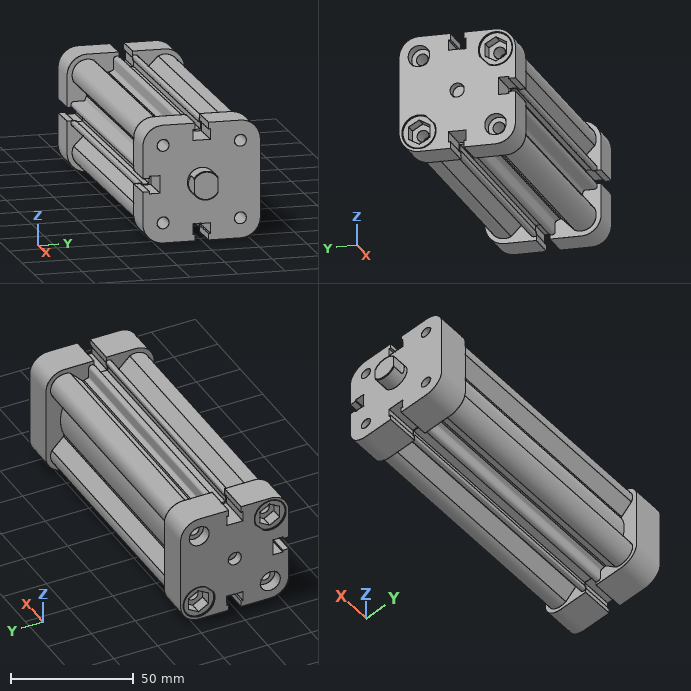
import cadquery as cq
import math

TOTAL_LENGTH = 141.5
BODY_WIDTH = 49.5
CAP_LENGTH = 14.6
ROD_PROJECTION = 7.1
BODY_LENGTH = TOTAL_LENGTH - ROD_PROJECTION
TUBE_LENGTH = BODY_LENGTH - 2 * CAP_LENGTH
HALF_WIDTH = BODY_WIDTH / 2

CORNER_RADIUS = 8.5
BOLT_OFFSET = HALF_WIDTH - CORNER_RADIUS
BOLT_HOLE_DIAMETER = 5.0
SOCKET_SIZE = 9.0
COUNTERBORE_DEPTH = 5.0
HEX_SOCKET_DEPTH = 5.8

RECESS_RIM_RADIUS = 7.2
RECESS_RIM_DEPTH = 0.3
RECESS_RADIUS = 7.0
RECESS_DEPTH = 0.5
RECESS_FLAT_DISTANCE = 6.7

CENTRE_HOLE_DIAMETER = 6.0
CENTRE_HOLE_DEPTH = 4.0

CAP_SLOT_HALF_MOUTH = 2.8
CAP_SLOT_HALF_FLOOR = 3.7
CAP_SLOT_LIP = 2.8
CAP_SLOT_DEPTH = 7.2

BARREL_RADIUS = 18.1
COLUMN_RADIUS = 6.4
BARREL_HALF_WIDTH = 7.4
FLANK_OFFSET = 8.5
FLANK_FOOT = 8.2
RAIL_TOP = 23.0
RAIL_HALF_WIDTH = 5.2
RAIL_OUTER_FILLET = 1.3
RAIL_MOUTH_FILLET = 0.4
RAIL_BASE_FILLET = 0.8
TUBE_SLOT_HALF_MOUTH = 2.7
TUBE_SLOT_HALF_FLOOR = 3.3
TUBE_SLOT_FLOOR = 18.3
TUBE_SLOT_LIP_UNDERSIDE = 21.2

ROD_DIAMETER = 12.0
ROD_ACROSS_FLATS = 10.0
ROD_SHOULDER = 1.7
ROD_CHAMFER = 0.3
ROD_FLAT_FILLET = 0.5

SLOT_ANGLES = (0, 90, 180)
ALL_SIDE_ANGLES = (0, 90, 180, 270)
CORNERS = [(y * BOLT_OFFSET, z * BOLT_OFFSET) for y in (-1, 1) for z in (-1, 1)]
HEX_CORNERS = [(-BOLT_OFFSET, BOLT_OFFSET), (BOLT_OFFSET, -BOLT_OFFSET)]
ROUND_CORNERS = [(-BOLT_OFFSET, -BOLT_OFFSET), (BOLT_OFFSET, BOLT_OFFSET)]


def plane_at(x):
    """Sketch plane across the axis: local x is +Y, local y is +Z."""
    return cq.Workplane("YZ", origin=(x, 0, 0))


def turned(shape, angle):
    return shape.rotate((0, 0, 0), (1, 0, 0), angle)


def bolt_holes(x, length):
    return plane_at(x).pushPoints(CORNERS).circle(BOLT_HOLE_DIAMETER / 2).extrude(length)


def t_slot(x, length, half_mouth, half_floor, lip_underside, floor):
    """T-slot cutter on the +Z side."""
    mouth_height = HALF_WIDTH - floor
    mouth = plane_at(x).center(0, floor + mouth_height / 2).rect(2 * half_mouth, mouth_height)
    pocket_height = lip_underside - floor
    pocket = plane_at(x).center(0, floor + pocket_height / 2).rect(2 * half_floor, pocket_height)
    return mouth.extrude(length).union(pocket.extrude(length))


def plain_cap(x):
    """Rounded square cap with three T-slots and four bolt holes."""
    cap = plane_at(x).rect(BODY_WIDTH, BODY_WIDTH).extrude(CAP_LENGTH)
    cap = cap.edges("|X").fillet(CORNER_RADIUS)
    slot = t_slot(
        x,
        CAP_LENGTH,
        CAP_SLOT_HALF_MOUTH,
        CAP_SLOT_HALF_FLOOR,
        HALF_WIDTH - CAP_SLOT_LIP,
        HALF_WIDTH - CAP_SLOT_DEPTH,
    )
    for angle in SLOT_ANGLES:
        cap = cap.cut(turned(slot, angle))
    return cap.cut(bolt_holes(x, CAP_LENGTH))


def flattened_disc(y, z, radius, depth):
    """Disc at a corner, cut straight on the side that faces the axis."""
    disc = plane_at(0).center(y, z).circle(radius).extrude(depth)
    side = 2 * radius
    shift = (RECESS_FLAT_DISTANCE + side / 2) / math.sqrt(2)
    block = (
        plane_at(0)
        .center(y - math.copysign(shift, y), z - math.copysign(shift, z))
        .transformed(rotate=(0, 0, 45))
        .rect(side, side)
        .extrude(depth)
    )
    return disc.cut(block)


def build_rear_cap():
    """Plain cap with counterbores, hexagon sockets and a blind centre hole in its outer face."""
    cap = plain_cap(0)
    counterbores = plane_at(0).pushPoints(ROUND_CORNERS).circle(SOCKET_SIZE / 2)
    cap = cap.cut(counterbores.extrude(COUNTERBORE_DEPTH))
    across_corners = SOCKET_SIZE / math.cos(math.radians(30))
    for y, z in HEX_CORNERS:
        socket = plane_at(0).center(y, z).transformed(rotate=(0, 0, 90))
        cap = cap.cut(socket.polygon(6, across_corners).extrude(HEX_SOCKET_DEPTH))
        cap = cap.cut(flattened_disc(y, z, RECESS_RIM_RADIUS, RECESS_RIM_DEPTH))
        cap = cap.cut(flattened_disc(y, z, RECESS_RADIUS, RECESS_DEPTH))
    return cap.cut(plane_at(0).circle(CENTRE_HOLE_DIAMETER / 2).extrude(CENTRE_HOLE_DEPTH))


def build_front_cap():
    """Plain cap bored for the piston rod."""
    x = BODY_LENGTH - CAP_LENGTH
    return plain_cap(x).cut(plane_at(x).circle(ROD_DIAMETER / 2).extrude(CAP_LENGTH))


def side_point(t, height, angle):
    """Point at distance t across and at the given height above the axis, on the side turned by angle."""
    turn = math.radians(angle)
    return (
        t * math.cos(turn) - height * math.sin(turn),
        t * math.sin(turn) + height * math.cos(turn),
    )


def tube_blank():
    """Barrel and corner columns joined by 45 degree flanks, the same on all four sides."""
    barrel_edge_height = math.sqrt(BARREL_RADIUS**2 - BARREL_HALF_WIDTH**2)
    flank_foot_height = FLANK_FOOT + FLANK_OFFSET
    flank_distance = FLANK_OFFSET / math.sqrt(2)
    half_chord = math.sqrt(COLUMN_RADIUS**2 - flank_distance**2)
    flank_top = BOLT_OFFSET - (flank_distance - half_chord) / math.sqrt(2)
    flank_top_height = flank_top + FLANK_OFFSET
    column_middle = BOLT_OFFSET + COLUMN_RADIUS / math.sqrt(2)

    outline = plane_at(CAP_LENGTH).moveTo(*side_point(flank_top, flank_top_height, 0))
    for angle in ALL_SIDE_ANGLES:
        outline = (
            outline.lineTo(*side_point(FLANK_FOOT, flank_foot_height, angle))
            .lineTo(*side_point(BARREL_HALF_WIDTH, barrel_edge_height, angle))
            .threePointArc(
                side_point(0, BARREL_RADIUS, angle),
                side_point(-BARREL_HALF_WIDTH, barrel_edge_height, angle),
            )
            .lineTo(*side_point(-FLANK_FOOT, flank_foot_height, angle))
            .lineTo(*side_point(-flank_top, flank_top_height, angle))
            .threePointArc(
                side_point(-column_middle, column_middle, angle),
                side_point(flank_top, flank_top_height, angle + 90),
            )
        )
    return outline.close().extrude(TUBE_LENGTH)


def slot_rails():
    """Slot floor on the +Z side and the pair of rails beside it, with rounded top edges."""
    width = RAIL_HALF_WIDTH - TUBE_SLOT_HALF_MOUTH
    middle = TUBE_SLOT_HALF_MOUTH + width / 2
    rail = plane_at(CAP_LENGTH).center(middle, RAIL_TOP / 2).rect(width, RAIL_TOP).extrude(TUBE_LENGTH)
    rail = rail.edges("|X and >Z and >Y").fillet(RAIL_OUTER_FILLET)
    rail = rail.edges("|X and >Z and <Y").fillet(RAIL_MOUTH_FILLET)
    floor = plane_at(CAP_LENGTH).center(0, TUBE_SLOT_FLOOR / 2)
    floor = floor.rect(2 * RAIL_HALF_WIDTH, TUBE_SLOT_FLOOR).extrude(TUBE_LENGTH)
    return rail.union(rail.mirror("XZ")).union(floor)


def fillet_rail_bases(tube):
    """Round the inside corners where the outer walls of the rails stand on the barrel."""
    foot_height = math.sqrt(BARREL_RADIUS**2 - RAIL_HALF_WIDTH**2)
    x = CAP_LENGTH + TUBE_LENGTH / 2
    for angle in SLOT_ANGLES:
        for t in (-RAIL_HALF_WIDTH, RAIL_HALF_WIDTH):
            y, z = side_point(t, foot_height, angle)
            tube = tube.edges(cq.NearestToPointSelector((x, y, z))).fillet(RAIL_BASE_FILLET)
    return tube


def build_tube():
    """Profiled tube between the caps, with three railed T-slots."""
    tube = tube_blank()
    slot = t_slot(
        CAP_LENGTH,
        TUBE_LENGTH,
        TUBE_SLOT_HALF_MOUTH,
        TUBE_SLOT_HALF_FLOOR,
        TUBE_SLOT_LIP_UNDERSIDE,
        TUBE_SLOT_FLOOR,
    )
    for angle in SLOT_ANGLES:
        tube = tube.union(turned(slot_rails(), angle))
        tube = tube.cut(turned(slot, angle))
    tube = fillet_rail_bases(tube)
    return tube.cut(bolt_holes(CAP_LENGTH, TUBE_LENGTH))


def build_rod():
    """Piston rod from the inner face of the front cap, with two wrench flats on its end."""
    start = BODY_LENGTH - CAP_LENGTH
    rod = plane_at(start).circle(ROD_DIAMETER / 2).extrude(TOTAL_LENGTH - start)
    rod = rod.faces(">X").chamfer(ROD_CHAMFER)
    flat_start = BODY_LENGTH + ROD_SHOULDER
    for side in (-1, 1):
        centre_y = side * (ROD_ACROSS_FLATS + ROD_DIAMETER) / 2
        cutter = plane_at(flat_start).center(centre_y, 0).rect(ROD_DIAMETER, 2 * ROD_DIAMETER)
        cutter = cutter.extrude(ROD_PROJECTION)
        inner_edge = cutter.faces("<X").edges("<Y" if side > 0 else ">Y")
        rod = rod.cut(inner_edge.fillet(ROD_FLAT_FILLET))
    return rod


rear_cap = build_rear_cap()
front_cap = build_front_cap()
tube = build_tube()
rod = build_rod()

result = cq.Compound.makeCompound([rear_cap.val(), front_cap.val(), tube.val(), rod.val()])